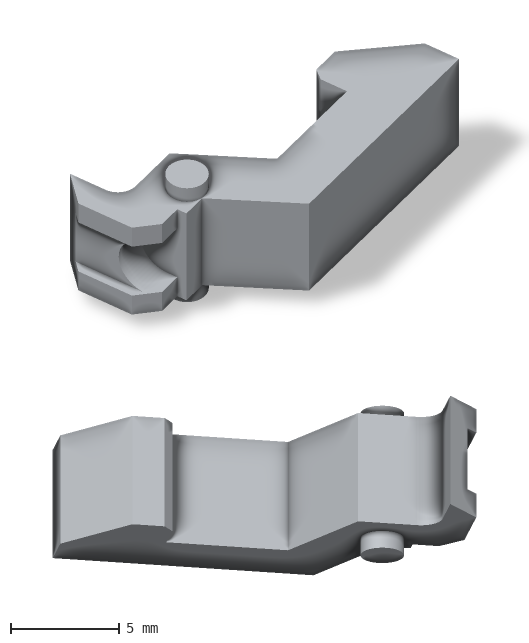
import cadquery as cq
import math

width = 10.3
length = 18.25
body_height = 5.35
bend_angle = math.radians(30)

toe_height = 1.5
sole_left = toe_height
heel_right = 5.5
heel_chamfer = 1.0
step_y = 2.25
toe_fillet = 1.0

neck_left = 3.0
neck_right = 6.0
slope_outer_top = 6.0
slope_inner_top = 7.75

arm_left = 7.3
head_left = 5.27
head_bottom = 13.47
head_top_left = 8.38
head_side_top = 15.44
lip_chamfer_x = 0.55
lip_chamfer_y = 0.45

pin_diameter = 2
pin_length = 7.0
pin_x = 5.0
pin_y = 3.76

channel_left = 1.0
channel_depth = 0.5
channel_height = 3.01
pocket_left = 3.41

slope_outer_bottom = slope_outer_top - (width - neck_right) * math.tan(bend_angle)
slope_inner_bottom = slope_inner_top - (arm_left - neck_left) * math.tan(bend_angle)


def make_body():
    outline = [
        (sole_left, 0),
        (heel_right - heel_chamfer, 0),
        (heel_right, heel_chamfer),
        (heel_right, step_y),
        (neck_right, step_y),
        (neck_right, slope_outer_bottom),
        (width, slope_outer_top),
        (width, length),
        (head_top_left, length),
        (head_left, head_side_top),
        (head_left, head_bottom + lip_chamfer_y),
        (head_left + lip_chamfer_x, head_bottom),
        (arm_left, head_bottom),
        (arm_left, slope_inner_top),
        (neck_left, slope_inner_bottom),
        (neck_left, toe_height + toe_fillet),
    ]
    profile = (
        cq.Workplane("XY", origin=(0, 0, -body_height / 2))
        .polyline(outline)
        .radiusArc((neck_left - toe_fillet, toe_height), toe_fillet)
        .lineTo(0, toe_height)
        .close()
    )
    return profile.extrude(body_height)


def make_pin():
    pin_plane = cq.Workplane("XY", origin=(pin_x, pin_y, 0))
    return pin_plane.circle(pin_diameter / 2).extrude(pin_length / 2, both=True)


def make_channel():
    return cq.Workplane("XY").box(
        neck_right - channel_left, channel_depth, channel_height, centered=(False, False, True)
    ).translate((channel_left, 0, 0))


def make_pocket():
    """Pocket from the sole up to the step, rounded on the left and open on the right."""
    radius = channel_height / 2
    center_x = pocket_left + radius
    return (
        cq.Workplane("XZ")
        .moveTo(neck_right, -radius)
        .lineTo(center_x, -radius)
        .threePointArc((pocket_left, 0), (center_x, radius))
        .lineTo(neck_right, radius)
        .close()
        .extrude(-step_y)
    )


result = make_body().cut(make_channel()).cut(make_pocket()).union(make_pin())